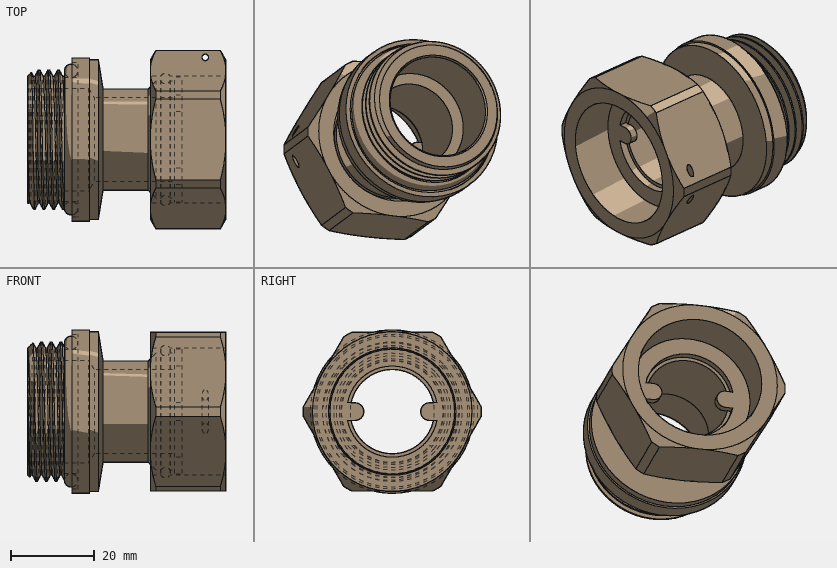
import cadquery as cq
import math


TOTAL_LENGTH = 47.2

THREAD_RADIUS = 16.6
THREAD_ROOT_RADIUS = 15.15
THREAD_PITCH = 2.3
FLANK_HALF_ANGLE = 27.5
GROOVE_AT_PLUS_Y = 1.55
GROOVE_START_ANGLE = 30.0
GROOVE_MARGIN = 0.25
THREAD_LENGTH = 8.75
THREAD_TIP_RADIUS = 15.1

ORING_X = 10.35
ORING_SECTION = 1.6
ORING_CENTRE_RADIUS = 16.4
SEAT_RADIUS = 18.4

FLANGE_START = 10.53
FLANGE_RADIUS = 19.5
RIM_START = 14.75
RIM_RADIUS = 19.05
RIM_END = 16.85
NECK_START = 18.0
NECK_RADIUS = 12.1

BORE_RADIUS = 12.22
BORE_CHAMFER = 0.4
BORE_CONE_START = 14.55
BORE_CONE_HALF_ANGLE = 59.0
SMALL_BORE_RADIUS = 10.0

COLLAR_CONE_START = 28.7
COLLAR_RADIUS = 13.92
TAIL_END = 34.95

NUT_START = 29.2
ACROSS_FLATS = 37.85
NUT_CORNER_RADIUS = 21.25
NUT_FACE_RADIUS = 18.97
NUT_CHAMFER_ANGLE = 30.0
NUT_BORE_RADIUS = 15.15
WIRE_HOLE_DIAMETER = 1.5
WIRE_HOLE_X = 42.3
WIRE_HOLE_Y = 19.6

RING_X = 32.8
RING_SECTION = 1.25
RING_CENTRE_RADIUS = (COLLAR_RADIUS + NUT_BORE_RADIUS) / 2

WASHER_RADIUS = 14.85
WASHER_BORE_RADIUS = 10.85
WASHER_THICKNESS = 1.9
LUG_WIDTH = 4.25
LUG_TIP_RADIUS = 6.75


def turned(points):
    """Solid of revolution about X from (x, radius) points."""
    return cq.Workplane("XY").polyline(points).close().revolve(360, (0, 0, 0), (1, 0, 0))


def round_ring(x, centre_radius, section_radius):
    """Ring of round section about X."""
    return (
        cq.Workplane("XY")
        .center(x, centre_radius)
        .circle(section_radius)
        .revolve(360, (0, -centre_radius, 0), (1, -centre_radius, 0))
    )


def thread_groove():
    """Helical groove, swept about Z and then turned onto X."""
    depth = THREAD_RADIUS - THREAD_ROOT_RADIUS
    flank_slope = math.tan(math.radians(FLANK_HALF_ANGLE))
    root_half = (THREAD_PITCH / 2 - depth * flank_slope) / 2
    top_half = root_half + (depth + GROOVE_MARGIN) * flank_slope
    top = THREAD_RADIUS + GROOVE_MARGIN
    start = GROOVE_AT_PLUS_Y + (GROOVE_START_ANGLE / 360 - 2) * THREAD_PITCH
    end = (THREAD_LENGTH + FLANGE_START) / 2
    path = cq.Wire.makeHelix(THREAD_PITCH, end - start, THREAD_ROOT_RADIUS)
    groove = (
        cq.Workplane("XZ")
        .polyline([
            (THREAD_ROOT_RADIUS, -root_half),
            (top, -top_half),
            (top, top_half),
            (THREAD_ROOT_RADIUS, root_half),
        ])
        .close()
        .sweep(cq.Workplane(obj=path), isFrenet=True)
    )
    along_x = groove.rotate((0, 0, 0), (1, 1, 1), 120)
    return along_x.rotate((0, 0, 0), (1, 0, 0), GROOVE_START_ANGLE).translate((start, 0, 0))


def make_oring():
    return round_ring(ORING_X, ORING_CENTRE_RADIUS, ORING_SECTION)


def make_snap_ring():
    return round_ring(RING_X, RING_CENTRE_RADIUS, RING_SECTION)


def make_fitting():
    seat_floor = ORING_CENTRE_RADIUS - ORING_SECTION
    seat_end = ORING_X + ORING_SECTION
    outer = turned([
        (0, 0),
        (0, THREAD_TIP_RADIUS),
        (THREAD_RADIUS - THREAD_TIP_RADIUS, THREAD_RADIUS),
        (THREAD_LENGTH, THREAD_RADIUS),
        (THREAD_LENGTH, seat_floor),
        (seat_end, seat_floor),
        (seat_end, SEAT_RADIUS),
        (FLANGE_START, SEAT_RADIUS),
        (FLANGE_START, FLANGE_RADIUS),
        (RIM_START, FLANGE_RADIUS),
        (RIM_START, RIM_RADIUS),
        (RIM_END, RIM_RADIUS),
        (NECK_START, NECK_RADIUS),
        (COLLAR_CONE_START, NECK_RADIUS),
        (COLLAR_CONE_START + COLLAR_RADIUS - NECK_RADIUS, COLLAR_RADIUS),
        (TAIL_END, COLLAR_RADIUS),
        (TAIL_END, 0),
    ])
    cone_length = (BORE_RADIUS - SMALL_BORE_RADIUS) / math.tan(math.radians(BORE_CONE_HALF_ANGLE))
    bore = turned([
        (0, 0),
        (0, BORE_RADIUS + BORE_CHAMFER),
        (BORE_CHAMFER, BORE_RADIUS),
        (BORE_CONE_START, BORE_RADIUS),
        (BORE_CONE_START + cone_length, SMALL_BORE_RADIUS),
        (TAIL_END, SMALL_BORE_RADIUS),
        (TAIL_END, 0),
    ])
    return outer.cut(bore).cut(thread_groove()).cut(make_snap_ring())


def make_nut():
    length = TOTAL_LENGTH - NUT_START
    chamfer = (NUT_CORNER_RADIUS - NUT_FACE_RADIUS) * math.tan(math.radians(NUT_CHAMFER_ANGLE))
    hexagon = (
        cq.Workplane("YZ", origin=(NUT_START, 0, 0))
        .polygon(6, ACROSS_FLATS, circumscribed=True)
        .extrude(length)
        .rotate((0, 0, 0), (1, 0, 0), 30)
    )
    envelope = turned([
        (NUT_START, 0),
        (NUT_START, NUT_FACE_RADIUS),
        (NUT_START + chamfer, NUT_CORNER_RADIUS),
        (TOTAL_LENGTH - chamfer, NUT_CORNER_RADIUS),
        (TOTAL_LENGTH, NUT_FACE_RADIUS),
        (TOTAL_LENGTH, 0),
    ])
    bore = turned([
        (NUT_START, 0),
        (NUT_START, NUT_BORE_RADIUS),
        (TOTAL_LENGTH, NUT_BORE_RADIUS),
        (TOTAL_LENGTH, 0),
    ])
    wire_hole = (
        cq.Workplane("XY")
        .center(WIRE_HOLE_X, WIRE_HOLE_Y)
        .circle(WIRE_HOLE_DIAMETER / 2)
        .extrude(ACROSS_FLATS, both=True)
    )
    return hexagon.intersect(envelope).cut(bore).cut(wire_hole).cut(make_snap_ring())


def make_washer():
    plane = cq.Workplane("YZ", origin=(TAIL_END, 0, 0))
    washer = plane.circle(WASHER_RADIUS).circle(WASHER_BORE_RADIUS).extrude(WASHER_THICKNESS)
    tip_centre = LUG_TIP_RADIUS + LUG_WIDTH / 2
    arm_end = (WASHER_RADIUS + WASHER_BORE_RADIUS) / 2
    for side in (1, -1):
        tip = plane.center(side * tip_centre, 0).circle(LUG_WIDTH / 2).extrude(WASHER_THICKNESS)
        arm = (
            cq.Workplane("YZ", origin=(TAIL_END, 0, 0))
            .center(side * (tip_centre + arm_end) / 2, 0)
            .rect(arm_end - tip_centre, LUG_WIDTH)
            .extrude(WASHER_THICKNESS)
        )
        washer = washer.union(tip).union(arm)
    return washer


fitting = make_fitting()
oring = make_oring()
nut = make_nut()
snap_ring = make_snap_ring()
washer = make_washer()

result = cq.Compound.makeCompound([
    fitting.val(),
    oring.val(),
    nut.val(),
    snap_ring.val(),
    washer.val(),
])